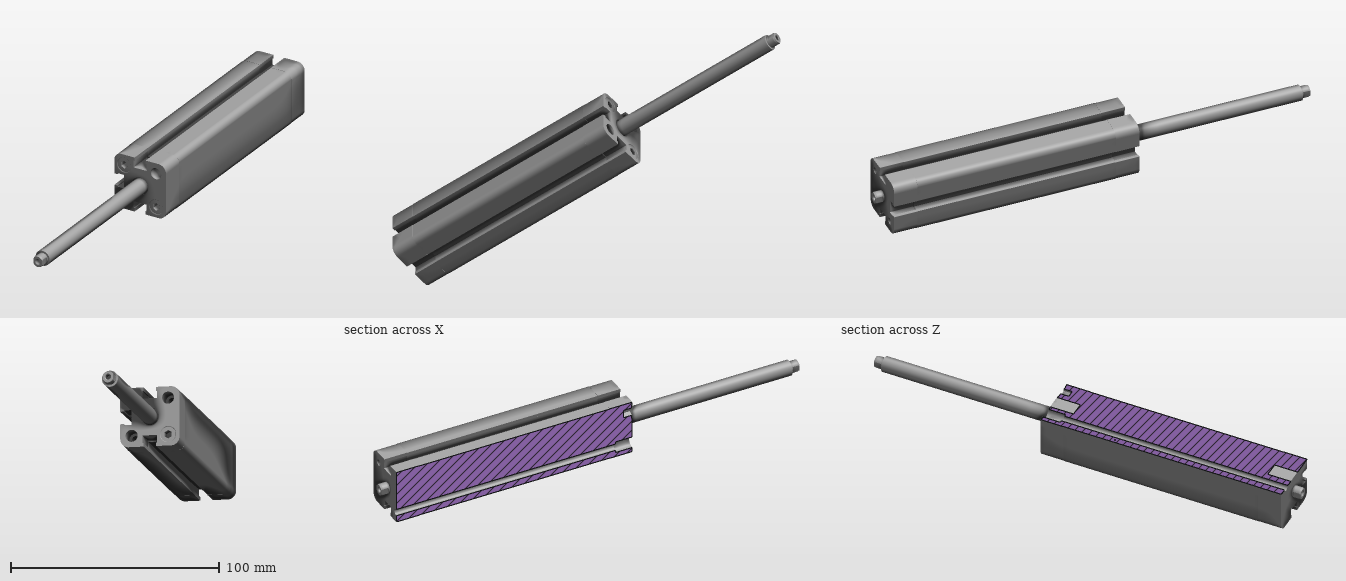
import cadquery as cq

total_length = 227.0
stud_length = 4.5
cap_length = 12.3
body_length = 128.0
tube_length = body_length - 2 * cap_length
rod_length = total_length - body_length - 2 * stud_length

front_tip_y = -total_length / 2
rod_shoulder_y = front_tip_y + stud_length
front_face_y = rod_shoulder_y + rod_length
tube_front_y = front_face_y + cap_length
tube_rear_y = tube_front_y + tube_length

cap_side = 29.0
tube_side = 28.8
cap_corner_radius = 4.0
tube_corner_radius = 3.5

slot_mouth_width = 6.1
slot_lip_depth = 1.8
cap_chamber_width = 7.3
cap_slot_depth = 5.5
tube_chamber_width = 6.5
tube_slot_depth = 4.8
slot_angles = (0, 90, 180)

rod_diameter = 8.0
rod_seat_diameter = 9.0
rod_seat_depth = 0.7
stud_diameter = 6.0
stud_flat_spacing = 5.0
stud_collar_length = 0.7
stud_chamfer_length = 1.0
stud_chamfer_depth = 0.2
stud_bore_diameter = 2.5
stud_bore_depth = 3.5
stud_countersink_diameter = 3.2
stud_countersink_angle = 90

corner_hole_spacing = 18.0
through_hole_diameter = 3.5
through_counterbore_diameter = 6.0
through_counterbore_depth = 9.0
screw_recess_mouth_diameter = 8.0
screw_recess_floor_diameter = 7.5
screw_socket_corner_diameter = 4.0
screw_socket_depth = 4.5


def section_plane(y):
    """XZ plane at the given Y, with its normal toward +Y and local x along -X."""
    return cq.Plane(origin=(0, y, 0), xDir=(-1, 0, 0), normal=(0, 1, 0))


def cylinder(y, length, diameter, x=0, z=0):
    """Cylinder parallel to Y, growing toward +Y from the given Y."""
    return cq.Workplane(section_plane(y)).center(-x, z).circle(diameter / 2).extrude(length)


def slot_cutter(y, length, chamber_width, depth):
    """T-slot opening through the top side."""
    top = cap_side / 2
    mouth = cq.Workplane(section_plane(y)).center(0, top - depth / 2).rect(slot_mouth_width, depth)
    chamber_height = depth - slot_lip_depth
    chamber = (
        cq.Workplane(section_plane(y))
        .center(0, top - depth + chamber_height / 2)
        .rect(chamber_width, chamber_height)
    )
    return mouth.extrude(length).union(chamber.extrude(length))


def slotted_block(y, length, side, corner_radius, chamber_width, depth):
    """Rounded square length of body with its three T-slots."""
    block = (
        cq.Workplane(section_plane(y))
        .rect(side, side)
        .extrude(length)
        .edges("|Y")
        .fillet(corner_radius)
    )
    cutter = slot_cutter(y, length, chamber_width, depth)
    for angle in slot_angles:
        block = block.cut(cutter.rotate((0, 0, 0), (0, -1, 0), angle))
    return block


def hex_prism(y, length, corner_diameter, x, z):
    """Hexagonal prism parallel to Y with corners at its top and bottom."""
    profile = cq.Workplane(section_plane(y)).center(-x, z).transformed(rotate=(0, 0, 90))
    return profile.polygon(6, corner_diameter).extrude(length)


def front_stud():
    """Chamfered stud with two side flats and a countersunk blind bore in its tip."""
    stud = cylinder(front_tip_y, stud_length, stud_diameter)
    stud = stud.faces("<Y").chamfer(stud_chamfer_length, stud_chamfer_depth)
    flat_length = stud_length - stud_collar_length
    flats = (
        cq.Workplane(section_plane(front_tip_y))
        .rect(stud_flat_spacing, stud_diameter)
        .extrude(flat_length)
    )
    collar = cylinder(front_tip_y + flat_length, stud_collar_length, stud_diameter)
    stud = stud.intersect(flats).union(collar)
    tip = stud.faces("<Y").workplane(origin=(0, front_tip_y, 0))
    return tip.cskHole(
        stud_bore_diameter, stud_countersink_diameter, stud_countersink_angle, stud_bore_depth
    )


def screw_recess(x, z):
    """Shallow 45 degree conical recess narrowing to its flat floor."""
    depth = (screw_recess_mouth_diameter - screw_recess_floor_diameter) / 2
    return (
        cq.Workplane(section_plane(front_face_y))
        .center(-x, z)
        .circle(screw_recess_mouth_diameter / 2)
        .extrude(depth, taper=45)
    )


cap_section = (cap_side, cap_corner_radius, cap_chamber_width, cap_slot_depth)
tube_section = (tube_side, tube_corner_radius, tube_chamber_width, tube_slot_depth)
result = slotted_block(tube_front_y, tube_length, *tube_section)
for cap_y in (front_face_y, tube_rear_y):
    result = result.union(slotted_block(cap_y, cap_length, *cap_section))

for side in (1, -1):
    hole = side * corner_hole_spacing / 2
    result = result.cut(cylinder(front_face_y, body_length, through_hole_diameter, hole, hole))
    result = result.cut(
        cylinder(front_face_y, through_counterbore_depth, through_counterbore_diameter, hole, hole)
    )
    result = result.cut(screw_recess(hole, -hole))
    result = result.cut(
        hex_prism(front_face_y, screw_socket_depth, screw_socket_corner_diameter, hole, -hole)
    )

result = result.cut(cylinder(front_face_y, rod_seat_depth, rod_seat_diameter))
rod_root_y = front_face_y + rod_seat_depth
result = result.union(cylinder(rod_shoulder_y, rod_root_y - rod_shoulder_y, rod_diameter))
rod_stud = front_stud()
rear_stud = rod_stud.mirror("XZ")
result = result.union(rod_stud).union(rear_stud)